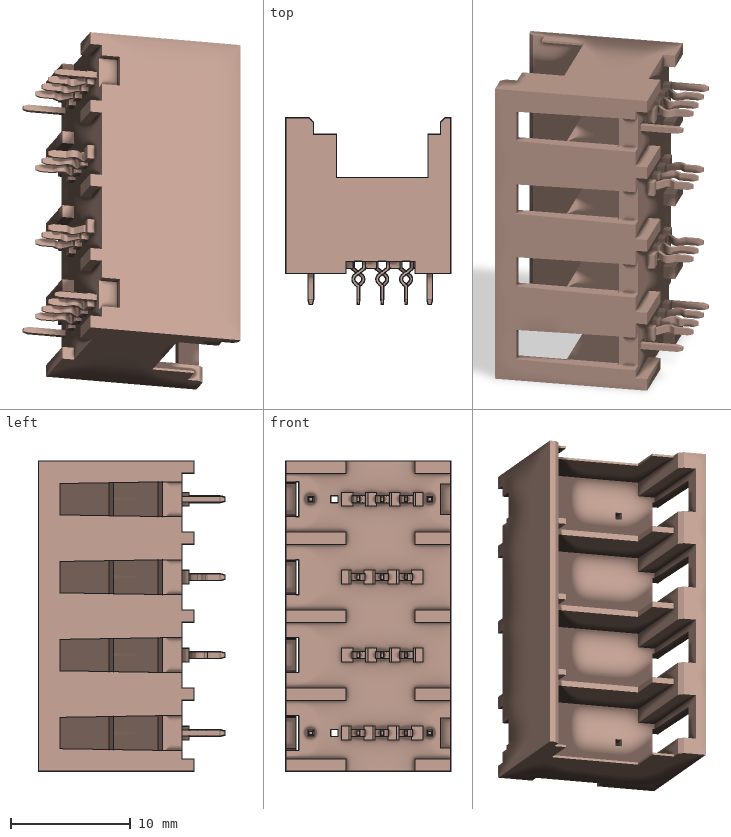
import cadquery as cq
import math


width = 13.8
height = 25.92
depth = 13.0
left = -width / 2
right = width / 2
row_count = 4
row_pitch = 6.5
row_heights = [height / 2 + (i - (row_count - 1) / 2) * row_pitch for i in range(row_count)]
end_rows = (row_heights[0], row_heights[-1])

rib_length = 1.0
rib_thickness = 1.04
left_rib_width = 5.05
right_rib_width = 3.0
base_face = rib_length

side_wall = 0.88
left_arm_tip = 2.33
left_arm = 4.25
right_arm = 1.92
tip_step_depth = 1.37
notch_depth = 4.98
tip_chamfer = 0.4

socket_height = 6.05
side_height = 3.73
socket_depth = 10.37
slope_depth = 5.88
slope_length = 0.4

window_width = 1.1
window_front_height = 2.9
window_back_height = 2.62
window_back_gap = 1.81

relief_width = 0.85
relief_height = 2.51
relief_depth = 1.55
hole_size = 0.57
hole_from_left = 4.07

pin_size = 0.5
pin_tip_size = 0.29
pin_reach = 2.6
pin_taper = 0.41
pin_from_left = 2.1
pin_from_right = 1.75

contact_count = 3
contact_pitch = 2.0
middle_contact = 1.17
contact_thickness = 0.25
contact_width = 0.6
contact_tip_thickness = 0.18
contact_tip_width = 0.35
root_offset = 0.47
root_bend = 0.6
loop_radius = 0.41
loop_center = 1.48
loop_angle = 45
shank_start = loop_center + loop_radius / math.sin(math.radians(loop_angle))
embed = 0.25
block_height = 1.17
block_length = 0.6
block_width = 0.9
end_block_width = 0.95
last_block_width = 0.8
end_block_offset = 3.4
block_chamfer_x = 0.195
block_chamfer_y = 0.1


def box(x0, x1, y0, y1, z0, z1):
    """Box between two opposite corners."""
    return cq.Workplane("XY").box(x1 - x0, y1 - y0, z1 - z0, centered=False).translate((x0, y0, z0))


def prism(points, z0, z1):
    """Outline in the XY plane, extruded from z0 to z1."""
    return cq.Workplane("XY").workplane(offset=z0).polyline(points).close().extrude(z1 - z0)


def tapered_tip(x, z, root_x, root_z, tip_x, tip_z, length):
    """Pyramid-shaped end of a leg, finishing at the full leg reach."""
    return (
        cq.Workplane("XZ", origin=(x, -pin_reach + length, z))
        .rect(root_x, root_z)
        .workplane(offset=length)
        .rect(tip_x, tip_z)
        .loft(ruled=True)
    )


def housing_block():
    """Solid block with the stepped U-shaped back."""
    step = depth - tip_step_depth
    floor = depth - notch_depth
    outline = [
        (left, base_face),
        (right, base_face),
        (right, depth),
        (right - side_wall + tip_chamfer, depth),
        (right - side_wall, depth - tip_chamfer),
        (right - side_wall, step),
        (right - right_arm, step),
        (right - right_arm, floor),
        (left + left_arm, floor),
        (left + left_arm, step),
        (left + left_arm_tip, step),
        (left + left_arm_tip, depth - tip_chamfer),
        (left + left_arm_tip - tip_chamfer, depth),
        (left, depth),
    ]
    return prism(outline, 0, height)


def ribs():
    """Pairs of standoff ribs at both ends and on every row boundary."""
    bodies = cq.Workplane("XY")
    for i in range(row_count + 1):
        boundary = height / 2 + (i - row_count / 2) * row_pitch
        z0 = min(max(boundary - rib_thickness / 2, 0), height - rib_thickness)
        z1 = z0 + rib_thickness
        bodies = bodies.add(box(left, left + left_rib_width, 0, base_face, z0, z1))
        bodies = bodies.add(box(right - right_rib_width, right, 0, base_face, z0, z1))
    return bodies


def socket(z):
    """Mating cavity, open at the back; it is lower beside the left wall and sloped on the right."""
    inner_left = left + side_wall
    inner_right = right - side_wall
    floor = depth - socket_depth
    narrow_right = inner_right - slope_length
    floor_right = narrow_right - slope_length
    main_outline = [
        (left + left_arm_tip, depth),
        (left + left_arm_tip, floor),
        (floor_right, floor),
        (narrow_right, floor + slope_length),
        (narrow_right, depth - slope_depth - slope_length),
        (inner_right, depth - slope_depth),
        (inner_right, depth),
    ]
    main = prism(main_outline, z - socket_height / 2, z + socket_height / 2)
    half_side = side_height / 2
    side = box(inner_left, left + left_arm_tip, floor, depth, z - half_side, z + half_side)
    return main.union(side)


def side_window(z):
    """Window through the left wall, straight at the base and tapered behind it."""
    front_half = window_front_height / 2
    back_half = window_back_height / 2
    straight_end = depth - socket_depth
    back = depth - window_back_gap
    outline = [
        (base_face, z - front_half),
        (straight_end, z - front_half),
        (back, z - back_half),
        (back, z + back_half),
        (straight_end, z + front_half),
        (base_face, z + front_half),
    ]
    return cq.Workplane("YZ", origin=(left, 0, 0)).polyline(outline).close().extrude(window_width)


def base_openings(z):
    """Edge relief on the right and the small square hole beside the contacts."""
    half_relief = relief_height / 2
    half_hole = hole_size / 2
    hole_x = left + hole_from_left
    relief_back = base_face + relief_depth
    relief = box(right - relief_width, right, base_face, relief_back, z - half_relief, z + half_relief)
    hole = box(hole_x - half_hole, hole_x + half_hole, base_face, depth, z - half_hole, z + half_hole)
    return relief.add(hole)


def hold_down_pin(x, z):
    """Square pin with a pointed end."""
    half = pin_size / 2
    shank = box(x - half, x + half, -pin_reach + pin_taper, base_face + embed, z - half, z + half)
    return shank.union(tapered_tip(x, z, pin_size, pin_size, pin_tip_size, pin_tip_size, pin_taper))


def contact(x, z, side):
    """Bent strip: rooted on the given side, looping round the other, then running straight forward."""
    across = loop_radius * math.cos(math.radians(loop_angle))
    along = loop_radius * math.sin(math.radians(loop_angle))
    loop_y = base_face - loop_center
    shank_y = base_face - shank_start
    tip_y = -pin_reach + pin_taper
    half_thickness = contact_thickness / 2
    half_width = contact_width / 2
    strip = (
        cq.Workplane("XY", origin=(x, 0, z - half_width))
        .moveTo(side * root_offset, base_face + embed)
        .lineTo(side * root_offset, base_face - root_bend)
        .lineTo(-side * across, loop_y + along)
        .threePointArc((-side * loop_radius, loop_y), (-side * across, loop_y - along))
        .lineTo(0, shank_y)
        .offset2D(half_thickness)
        .extrude(contact_width)
    )
    shank = box(x - half_thickness, x + half_thickness, tip_y, shank_y, z - half_width, z + half_width)
    tip = tapered_tip(
        x, z, contact_thickness, contact_width, contact_tip_thickness, contact_tip_width, pin_taper
    )
    return strip.union(shank).union(tip)


def guide_block(near, block_size, side, z, chamfered):
    """Block on the base face; its near edge faces the contact root and is chamfered there."""
    far = near + side * block_size
    front = base_face - block_length
    points = [(near, base_face + embed), (far, base_face + embed), (far, front)]
    if chamfered:
        points += [(near + side * block_chamfer_x, front), (near, front + block_chamfer_y)]
    else:
        points += [(near, front)]
    return prism(points, z - block_height / 2, z + block_height / 2)


def contact_row(z, side):
    """Three contacts and four guide blocks; alternate rows are mirror images."""
    bodies = [guide_block(middle_contact - side * end_block_offset, end_block_width, side, z, False)]
    for i in range(contact_count):
        offset = (i - (contact_count - 1) / 2) * contact_pitch
        x = middle_contact + side * offset
        near = x + side * (root_offset + contact_thickness / 2)
        size = last_block_width if i == contact_count - 1 else block_width
        bodies.append(contact(x, z, side))
        bodies.append(guide_block(near, size, side, z, True))
    return bodies


result = housing_block().union(ribs())
for row_z in row_heights:
    result = result.cut(socket(row_z)).cut(side_window(row_z))
for row_z in end_rows:
    result = result.cut(base_openings(row_z))
    result = result.union(hold_down_pin(left + pin_from_left, row_z))
    result = result.union(hold_down_pin(right - pin_from_right, row_z))
for row, row_z in enumerate(row_heights):
    root_side = 1 if row % 2 else -1
    for body in contact_row(row_z, root_side):
        result = result.union(body)